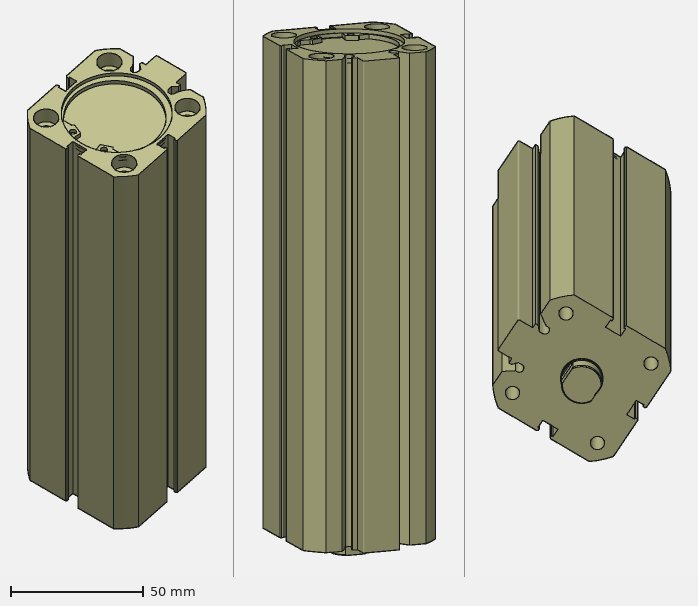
import cadquery as cq

TOTAL_LENGTH = 198.0
ROD_PROJECTION = 7.0
HOUSING_SIZE = 54.0
HOUSING_CORNER_RADIUS = 33.9
HALF = HOUSING_SIZE / 2
HOUSING_LENGTH = TOTAL_LENGTH - ROD_PROJECTION

RAIL_WIDTH = 14.8
RAIL_HEIGHT = 6.0
RAIL_CORNER_RADIUS = 0.5
CHANNEL_DEPTH = 6.5
CHANNEL_WIDTH = 3.4
CHANNEL_MOUTH = 6.3
CHANNEL_WALL_HEIGHT = 2.4
EAR_DEPTH = 0.4
EAR_REACH = 2.0
EAR_TIP_HEIGHT = 1.2
EAR_ROOT_HEIGHT = 3.0

SLOT_DEPTH = 4.8
SLOT_WIDTH = 6.7
SLOT_MOUTH_WIDTH = 5.3
SLOT_LIP = 1.4
SLOT_CHAMFER = 0.4

HOLE_SPACING = 38.0
HOLE_DIAMETER = 5.3
COUNTERBORE_DIAMETER = 9.5
COUNTERBORE_DEPTH = 7.0

BORE_RADIUS = 21.0
GROOVE_RADIUS = 22.0
RING_DEPTH = 1.5
RING_THICKNESS = 1.8
RING_INNER_RADIUS = 19.5
RING_INNER_OFFSET = 1.2
RING_GAP_WIDTH = 9.5
LUG_END_TAPER = 1.0
LUG_WIDTH = 4.5
LUG_SLOPE_DROP = 2.0
LUG_STEP = 0.8
LUG_EDGE_DEPTH = 14.7
LUG_OUTER_X = 15.8
LUG_HOLE_X = 7.5
LUG_HOLE_DEPTH = 17.0
LUG_HOLE_DIAMETER = 2.5

CAP_THICKNESS = 11.9

ROD_DIAMETER = 16.0
ROD_COLLAR = 0.8
ROD_CONE_LENGTH = 0.4
ROD_END_DIAMETER = 15.5
ROD_END_CHAMFER = 0.4
FLAT_WIDTH = 13.0
FLAT_LENGTH = 4.8
FLAT_SHOULDER = 0.5

RING_TOP = HOUSING_LENGTH - RING_DEPTH
CAP_TOP = RING_TOP - RING_THICKNESS
CAP_BOTTOM = CAP_TOP - CAP_THICKNESS


def cylinder(radius, bottom, top):
    return cq.Workplane("XY").workplane(offset=bottom).circle(radius).extrude(top - bottom)


def slot_cutter(angle):
    """T-shaped sensor slot in the face reached by turning the +X face by angle."""
    floor_x = HALF - SLOT_DEPTH
    lip_x = HALF - SLOT_LIP
    wide = cq.Workplane("XY").rect(SLOT_DEPTH - SLOT_LIP, SLOT_WIDTH).extrude(HOUSING_LENGTH)
    wide = wide.translate(((floor_x + lip_x) / 2, 0, 0))
    mouth = cq.Workplane("XY").rect(SLOT_DEPTH, SLOT_MOUTH_WIDTH).extrude(HOUSING_LENGTH)
    mouth = mouth.translate((HALF - SLOT_DEPTH / 2, 0, 0))
    half_mouth = SLOT_MOUTH_WIDTH / 2
    chamfer = (
        cq.Workplane("XY")
        .moveTo(HALF - SLOT_CHAMFER, -half_mouth)
        .lineTo(HALF, -half_mouth - SLOT_CHAMFER)
        .lineTo(HALF, half_mouth + SLOT_CHAMFER)
        .lineTo(HALF - SLOT_CHAMFER, half_mouth)
        .close()
        .extrude(HOUSING_LENGTH)
    )
    return wide.union(mouth).union(chamfer).rotate((0, 0, 0), (0, 0, 1), angle)


def channel_cutter():
    """Channel on the +X side of the rail, with the ear of the rail left standing."""
    rail_x = RAIL_WIDTH / 2
    floor_y = HALF - CHANNEL_DEPTH
    round_y = floor_y + CHANNEL_WIDTH / 2
    ear_x = rail_x + EAR_REACH
    ear_y = HALF - EAR_DEPTH
    return (
        cq.Workplane("XY")
        .moveTo(rail_x, round_y)
        .threePointArc((rail_x + CHANNEL_WIDTH / 2, floor_y), (rail_x + CHANNEL_WIDTH, round_y))
        .lineTo(rail_x + CHANNEL_WIDTH, floor_y + CHANNEL_WALL_HEIGHT)
        .lineTo(rail_x + CHANNEL_MOUTH, HALF)
        .lineTo(rail_x, HALF)
        .lineTo(rail_x, ear_y)
        .lineTo(ear_x, ear_y)
        .lineTo(ear_x, ear_y - EAR_TIP_HEIGHT)
        .lineTo(rail_x, ear_y - EAR_ROOT_HEIGHT)
        .close()
        .extrude(HOUSING_LENGTH)
    )


def make_housing():
    body = cq.Workplane("XY").rect(HOUSING_SIZE, HOUSING_SIZE).extrude(HOUSING_LENGTH)
    body = body.intersect(cylinder(HOUSING_CORNER_RADIUS, 0, HOUSING_LENGTH))
    rail_length = HALF + RAIL_HEIGHT - BORE_RADIUS
    rail = (
        cq.Workplane("XY")
        .center(0, BORE_RADIUS + rail_length / 2)
        .rect(RAIL_WIDTH, rail_length)
        .extrude(HOUSING_LENGTH)
        .edges("|Z and >Y")
        .fillet(RAIL_CORNER_RADIUS)
    )
    body = body.union(rail)
    channel = channel_cutter()
    body = body.cut(channel).cut(channel.mirror("YZ"))
    for angle in (0, 180, 270):
        body = body.cut(slot_cutter(angle))
    body = body.cut(cylinder(BORE_RADIUS, CAP_BOTTOM, HOUSING_LENGTH))
    body = body.cut(cylinder(ROD_DIAMETER / 2, 0, CAP_BOTTOM))
    body = body.cut(cylinder(GROOVE_RADIUS, CAP_TOP, RING_TOP))
    return (
        body.faces(">Z")
        .workplane(origin=(0, 0, HOUSING_LENGTH))
        .rect(HOLE_SPACING, HOLE_SPACING, forConstruction=True)
        .vertices()
        .cboreHole(HOLE_DIAMETER, COUNTERBORE_DIAMETER, COUNTERBORE_DEPTH)
    )


def make_retaining_ring():
    plane = cq.Workplane("XY").workplane(offset=CAP_TOP)
    ring = plane.circle(GROOVE_RADIUS).extrude(RING_THICKNESS)
    opening = plane.center(0, -RING_INNER_OFFSET).circle(RING_INNER_RADIUS).extrude(RING_THICKNESS)
    ring = ring.cut(opening)
    gap_x = RING_GAP_WIDTH / 2
    crest_x = gap_x + LUG_WIDTH
    crest_y = -LUG_EDGE_DEPTH + LUG_STEP
    gap = (
        plane.center(0, -GROOVE_RADIUS)
        .rect(RING_GAP_WIDTH + 2 * LUG_END_TAPER, GROOVE_RADIUS)
        .extrude(RING_THICKNESS)
    )
    lug = (
        plane.moveTo(gap_x + LUG_END_TAPER, -GROOVE_RADIUS)
        .lineTo(gap_x, crest_y - LUG_SLOPE_DROP)
        .lineTo(crest_x, crest_y)
        .lineTo(crest_x + LUG_STEP, -LUG_EDGE_DEPTH)
        .lineTo(LUG_OUTER_X, -LUG_EDGE_DEPTH)
        .lineTo(LUG_OUTER_X, -GROOVE_RADIUS)
        .close()
        .extrude(RING_THICKNESS)
        .intersect(cylinder(GROOVE_RADIUS, CAP_TOP, RING_TOP))
    )
    ring = ring.cut(gap).union(lug).union(lug.mirror("YZ"))
    holes = (
        plane.pushPoints([(-LUG_HOLE_X, -LUG_HOLE_DEPTH), (LUG_HOLE_X, -LUG_HOLE_DEPTH)])
        .circle(LUG_HOLE_DIAMETER / 2)
        .extrude(RING_THICKNESS)
    )
    return ring.cut(holes)


def make_cap():
    return cylinder(BORE_RADIUS, CAP_BOTTOM, CAP_TOP)


def make_rod():
    """Turned about Z, then milled with a flat on the -Y and +Y sides."""
    radius = ROD_DIAMETER / 2
    end_radius = ROD_END_DIAMETER / 2
    rod = (
        cq.Workplane("XZ")
        .moveTo(0, -ROD_PROJECTION)
        .lineTo(end_radius - ROD_END_CHAMFER, -ROD_PROJECTION)
        .lineTo(end_radius, -ROD_PROJECTION + ROD_END_CHAMFER)
        .lineTo(end_radius, -ROD_COLLAR - ROD_CONE_LENGTH)
        .lineTo(radius, -ROD_COLLAR)
        .lineTo(radius, CAP_BOTTOM)
        .lineTo(0, CAP_BOTTOM)
        .close()
        .revolve(360, (0, 0, 0), (0, 1, 0))
    )
    flat_y = FLAT_WIDTH / 2
    flat_top = -ROD_PROJECTION + FLAT_LENGTH
    flat = (
        cq.Workplane("YZ")
        .moveTo(flat_y, -ROD_PROJECTION)
        .lineTo(flat_y, flat_top)
        .lineTo(flat_y + FLAT_SHOULDER, flat_top + FLAT_SHOULDER)
        .lineTo(radius, flat_top + FLAT_SHOULDER)
        .lineTo(radius, -ROD_PROJECTION)
        .close()
        .extrude(radius, both=True)
    )
    return rod.cut(flat).cut(flat.mirror("XZ"))


housing = make_housing()
retaining_ring = make_retaining_ring()
cap = make_cap()
rod = make_rod()

result = cq.Compound.makeCompound([p.val() for p in (housing, retaining_ring, cap, rod)])